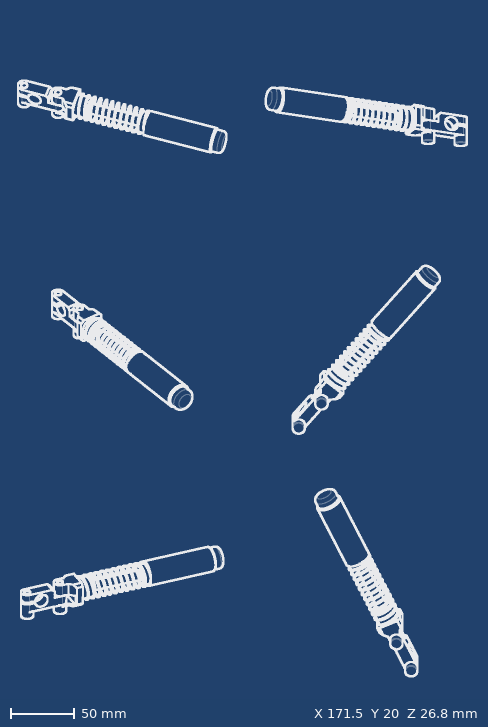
import cadquery as cq


total_length = 171.5
total_height = 26.8
body_width = 20.0

arm_width = 10.0
arm_radius = arm_width / 2
link_top = 7.7
link_bottom = -8.2
link_end = 26.5
link_chamfer = 2.0
clamp_hole_diameter = 10.8
clamp_hole_x = 15.1
clamp_slot = 1.7

clamp_pin_x = arm_radius
hinge_pin_x = 33.3
neck_diameter = 6.5
pin_head_diameter = 5.0
pin_head_depth = 0.3
hinge_boss_length = total_height - body_width / 2 + link_bottom
clamp_boss_length = 6.2
boss_fillet = 0.5

flank_start = 38.6
flank_end = 43.5
fork_end = 48.5
fork_chamfer = 2.4
cavity_end = 42.5

rod_diameter = 8.0
collar_diameter = 17.0
collar_chamfer = 1.0
left_collar_end = 60.7
right_collar_start = 101.7

barrel_start = 107.5
barrel_end = 164.0
barrel_chamfer = 1.0
cap_diameter = 18.0
cap_fillet = 3.0

wire_diameter = 1.0
spring_radius = (body_width - wire_diameter) / 2
spring_pitch = 4.94
spring_start = 48.9
spring_end = barrel_start
spring_start_angle = 203.0


def cylinder_x(diameter, start, end):
    """Cylinder on the strut axis."""
    return cq.Workplane("YZ", origin=(start, 0, 0)).circle(diameter / 2).extrude(end - start)


def cylinder_z(diameter, x, bottom, top):
    """Vertical cylinder centred on Y = 0."""
    return cq.Workplane("XY", origin=(x, 0, bottom)).circle(diameter / 2).extrude(top - bottom)


def box(start, end, width, bottom, top):
    """Box centred on Y = 0."""
    base = cq.Workplane("XY", origin=(start, 0, bottom))
    return base.box(end - start, width, top - bottom, centered=(False, True, False))


def make_link():
    """Clamp link: a tall rounded head and a lower tongue that fits the fork."""
    head = box(clamp_pin_x, link_end, arm_width, link_bottom, link_top)
    head = head.edges(">X and >Z").chamfer(link_chamfer)
    rounded_end = cylinder_z(arm_width, clamp_pin_x, link_bottom, link_top)
    tongue = box(clamp_pin_x, hinge_pin_x, arm_width, link_bottom, 0)
    tongue_end = cylinder_z(arm_width, hinge_pin_x, link_bottom, 0)
    link = head.union(rounded_end).union(tongue).union(tongue_end)

    hole = cq.Workplane("XZ", origin=(clamp_hole_x, 0, 0)).circle(clamp_hole_diameter / 2)
    hole = hole.extrude(arm_width, both=True)
    slot = box(0, clamp_hole_x, arm_width, -clamp_slot / 2, clamp_slot / 2)
    neck = cylinder_z(neck_diameter, clamp_pin_x, link_bottom, link_top)
    return link.cut(slot).union(neck).cut(hole)


def make_fork():
    """Fork block: two rounded arms flaring to a body with chamfered long edges."""
    half = body_width / 2
    block = (
        cq.Workplane("XY", origin=(0, 0, -half))
        .moveTo(hinge_pin_x, -arm_radius)
        .lineTo(flank_start, -arm_radius)
        .lineTo(flank_end, -half)
        .lineTo(fork_end, -half)
        .lineTo(fork_end, half)
        .lineTo(flank_end, half)
        .lineTo(flank_start, arm_radius)
        .lineTo(hinge_pin_x, arm_radius)
        .threePointArc((hinge_pin_x - arm_radius, 0), (hinge_pin_x, -arm_radius))
        .close()
        .extrude(body_width)
    )
    envelope = box(0, fork_end, body_width, -half, half).edges("|X").chamfer(fork_chamfer)
    cavity = box(0, cavity_end, body_width, link_bottom, 0)
    return block.intersect(envelope).cut(cavity)


def make_boss(x, top, length):
    """Boss hanging below the link, with a rounded bottom edge."""
    boss = cylinder_z(arm_width, x, top - length, top)
    return boss.faces("<Z").edges().fillet(boss_fillet)


def pin_recess(x, top):
    """Shallow round recess above the end of a pin."""
    return cylinder_z(pin_head_diameter, x, top - pin_head_depth, top)


def make_strut():
    """Rod with its two collars, the barrel and the rounded end cap."""
    rod = cylinder_x(rod_diameter, fork_end, barrel_start)
    left_collar = cylinder_x(collar_diameter, fork_end, left_collar_end)
    left_collar = left_collar.faces(">X").chamfer(collar_chamfer)
    right_collar = cylinder_x(collar_diameter, right_collar_start, barrel_start)
    right_collar = right_collar.faces("<X").chamfer(collar_chamfer)
    barrel = cylinder_x(body_width, barrel_start, barrel_end).faces(">X").chamfer(barrel_chamfer)
    cap = cylinder_x(cap_diameter, barrel_end, total_length).faces(">X").edges().fillet(cap_fillet)
    return rod.union(left_collar).union(right_collar).union(barrel).union(cap)


def make_spring():
    """Right-handed coil spring between the fork and the barrel."""
    length = spring_end - spring_start
    path = cq.Wire.makeHelix(spring_pitch, length, spring_radius)
    spring = (
        cq.Workplane("XZ", origin=(spring_radius, 0, 0))
        .circle(wire_diameter / 2)
        .sweep(cq.Workplane(path), isFrenet=True)
    )
    spring = spring.rotate((0, 0, 0), (0, 1, 0), 90)
    spring = spring.rotate((0, 0, 0), (1, 0, 0), spring_start_angle - 270)
    return spring.translate((spring_start, 0, 0))


result = (
    make_link()
    .union(make_fork())
    .union(make_boss(clamp_pin_x, link_bottom, clamp_boss_length))
    .union(make_boss(hinge_pin_x, link_bottom, hinge_boss_length))
    .cut(pin_recess(clamp_pin_x, link_top))
    .cut(pin_recess(hinge_pin_x, body_width / 2))
    .union(make_strut())
    .union(make_spring())
)